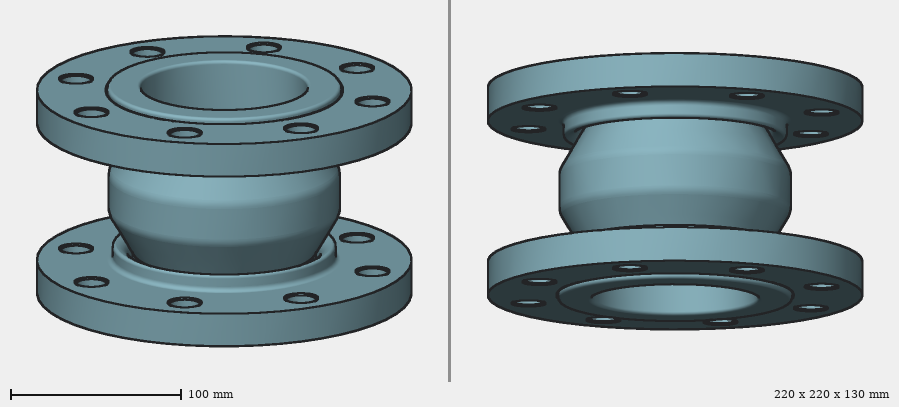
import cadquery as cq
import math

overall_length = 130.0
face_z = overall_length / 2

flange_diameter = 220.0
flange_thickness = 20.0
face_projection = 3.0
flange_outer_z = face_z - face_projection
flange_inner_z = flange_outer_z - flange_thickness
collar_diameter = 131.0
collar_height = 10.0
collar_end_z = flange_inner_z - collar_height
collar_root_fillet = 3.0
collar_edge_fillet = 2.0
flange_bore_diameter = 112.0
mouth_depth = 9.0
mouth_width = (collar_diameter - flange_bore_diameter) / 2 - collar_edge_fillet
mouth_radius = (mouth_width ** 2 + mouth_depth ** 2) / (2 * mouth_width)

bolt_count = 8
bolt_hole_diameter = 18.0
bolt_circle_diameter = 180.0
bolt_hole_chamfer = 1.0

recess_diameter = 138.0
seal_diameter = 137.5
seal_edge_fillet = 2.0
seal_depth = 5.0
recess_chamfer = 0.75
seal_back_z = face_z - seal_depth

wall = 5.0
bore_diameter = 97.93
neck_diameter = bore_diameter + 2 * wall
bulge_diameter = 136.0
bulge_half_length = 9.3
bulge_outer_radius = 10.0
bulge_inner_radius = 2.0
neck_inner_radius = wall
bore_edge_fillet = 2.0
cone_angle = math.radians(30)


def revolve_about_axis(profile):
    return profile.close().revolve(360, (0, 0, 0), (0, 1, 0))


def below(point):
    """The same point mirrored below the mid plane."""
    return point[0], -point[1]


def make_upper_flange():
    collar_r = collar_diameter / 2
    bore_r = flange_bore_diameter / 2
    recess_r = recess_diameter / 2
    flange_r = flange_diameter / 2
    profile = (
        cq.Workplane("XZ")
        .moveTo(bore_r, seal_back_z)
        .lineTo(recess_r, seal_back_z)
        .lineTo(recess_r, flange_outer_z - recess_chamfer)
        .lineTo(recess_r + recess_chamfer, flange_outer_z)
        .lineTo(flange_r, flange_outer_z)
        .lineTo(flange_r, flange_inner_z)
        .lineTo(collar_r + collar_root_fillet, flange_inner_z)
        .radiusArc((collar_r, flange_inner_z - collar_root_fillet), -collar_root_fillet)
        .lineTo(collar_r, collar_end_z + collar_edge_fillet)
        .radiusArc((collar_r - collar_edge_fillet, collar_end_z), collar_edge_fillet)
        .radiusArc((bore_r, collar_end_z + mouth_depth), mouth_radius)
    )
    flange = revolve_about_axis(profile)
    rim_r = bolt_hole_diameter / 2 + bolt_hole_chamfer
    hole_r = bolt_hole_diameter / 2
    hole_profile = (
        cq.Workplane("XZ")
        .moveTo(0, flange_inner_z)
        .lineTo(rim_r, flange_inner_z)
        .lineTo(hole_r, flange_inner_z + bolt_hole_chamfer)
        .lineTo(hole_r, flange_outer_z - bolt_hole_chamfer)
        .lineTo(rim_r, flange_outer_z)
        .lineTo(0, flange_outer_z)
    )
    hole = revolve_about_axis(hole_profile).val()
    holes = (
        cq.Workplane("XY")
        .polarArray(bolt_circle_diameter / 2, 180 / bolt_count, 360, bolt_count)
        .eachpoint(lambda spot: hole.moved(spot), combine=False)
    )
    return flange.cut(holes)


def make_bellows():
    bore_r = bore_diameter / 2
    neck_r = neck_diameter / 2
    bulge_r = bulge_diameter / 2
    inner_r = bulge_r - wall
    seal_r = seal_diameter / 2
    sine = math.sin(cone_angle)
    drop = 1 - math.cos(cone_angle)

    bulge_inner_z = bulge_half_length + (bulge_outer_radius - wall - bulge_inner_radius) * math.tan(cone_angle / 2)

    bulge_outer_end = (bulge_r - bulge_outer_radius * drop, bulge_half_length + bulge_outer_radius * sine)
    bulge_inner_end = (inner_r - bulge_inner_radius * drop, bulge_inner_z + bulge_inner_radius * sine)
    neck_z = bulge_outer_end[1] + (bulge_outer_end[0] - neck_r) / math.tan(cone_angle)
    neck_inner_end = (bore_r + neck_inner_radius * drop, neck_z - neck_inner_radius * sine)

    profile = (
        cq.Workplane("XZ")
        .moveTo(bulge_r, -bulge_half_length)
        .lineTo(bulge_r, bulge_half_length)
        .radiusArc(bulge_outer_end, -bulge_outer_radius)
        .lineTo(neck_r, neck_z)
        .lineTo(neck_r, seal_back_z)
        .lineTo(seal_r, seal_back_z)
        .lineTo(seal_r, face_z - seal_edge_fillet)
        .radiusArc((seal_r - seal_edge_fillet, face_z), -seal_edge_fillet)
        .lineTo(bore_r + bore_edge_fillet, face_z)
        .radiusArc((bore_r, face_z - bore_edge_fillet), -bore_edge_fillet)
        .lineTo(bore_r, neck_z)
        .radiusArc(neck_inner_end, -neck_inner_radius)
        .lineTo(*bulge_inner_end)
        .radiusArc((inner_r, bulge_inner_z), bulge_inner_radius)
        .lineTo(inner_r, -bulge_inner_z)
        .radiusArc(below(bulge_inner_end), bulge_inner_radius)
        .lineTo(*below(neck_inner_end))
        .radiusArc((bore_r, -neck_z), -neck_inner_radius)
        .lineTo(bore_r, bore_edge_fillet - face_z)
        .radiusArc((bore_r + bore_edge_fillet, -face_z), -bore_edge_fillet)
        .lineTo(seal_r - seal_edge_fillet, -face_z)
        .radiusArc((seal_r, seal_edge_fillet - face_z), -seal_edge_fillet)
        .lineTo(seal_r, -seal_back_z)
        .lineTo(neck_r, -seal_back_z)
        .lineTo(neck_r, -neck_z)
        .lineTo(*below(bulge_outer_end))
        .radiusArc((bulge_r, -bulge_half_length), -bulge_outer_radius)
    )
    return revolve_about_axis(profile)


upper_flange = make_upper_flange()
lower_flange = upper_flange.mirror("XY")
bellows = make_bellows()

result = cq.Compound.makeCompound([upper_flange.val(), lower_flange.val(), bellows.val()])